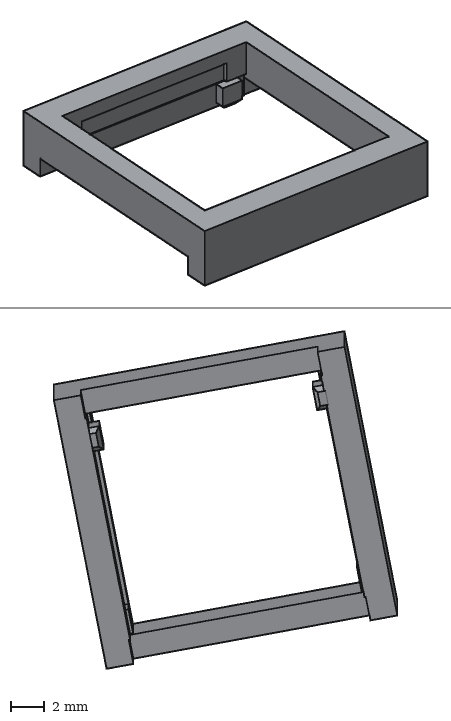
import cadquery as cq

width = 17.51
depth = 16.7
height = 3.78
opening = 13.76
rise = 0.07

notch_top = 2.54
notch_depth = 0.254
pocket_top = 0.93
pocket_length = 10.82
recess_top = 2.2
recess_depth = 0.18

clip_reach = 0.45
clip_length = 1.45
clip_y = 5.5
clip_top = recess_top
clip_bevel_height = 0.3
clip_bevel_reach = 0.25
clip_bevel_length = 0.3

notch_width = opening + 2 * notch_depth
recess_width = opening + 2 * recess_depth
slope = rise / width


def block(size_x, size_y, top, bottom):
    """Centred block between two distances below the top face, with upright sides
    and with its top and bottom sloping up toward +X."""
    half = size_x / 2
    z_top = height - top
    z_bottom = height - bottom
    lift = slope * half
    return (
        cq.Workplane("XZ")
        .moveTo(-half, z_bottom - lift)
        .lineTo(half, z_bottom + lift)
        .lineTo(half, z_top + lift)
        .lineTo(-half, z_top - lift)
        .close()
        .extrude(size_y / 2, both=True)
    )


def clip(side):
    """Clip on one side wall (side is -1 or +1), narrowed by bevels at its bottom."""
    wall_x = side * notch_width / 2
    reach = notch_depth + clip_reach
    tip_reach = reach - clip_bevel_reach
    tip_length = clip_length - 2 * clip_bevel_length
    bottom_z = slope * wall_x
    body = (
        cq.Workplane("XY")
        .workplane(offset=bottom_z + clip_bevel_height)
        .center(wall_x - side * reach / 2, clip_y)
        .rect(reach, clip_length)
        .extrude(height - clip_top - clip_bevel_height)
    )
    tip = (
        cq.Workplane("XY")
        .workplane(offset=bottom_z)
        .center(wall_x - side * tip_reach / 2, clip_y)
        .rect(tip_reach, tip_length)
        .workplane(offset=clip_bevel_height)
        .center(-side * clip_bevel_reach / 2, 0)
        .rect(reach, clip_length)
        .loft(ruled=True)
    )
    return body.union(tip)


frame = block(width, depth, 0, height)
frame = frame.cut(block(opening, opening, 0, height))

frame = frame.cut(block(recess_width, opening, recess_top, height))

frame = frame.cut(block(notch_width, pocket_length, pocket_top, recess_top))

bar_notches = block(notch_width, depth, notch_top, height)
bar_notches = bar_notches.cut(block(notch_width, opening, notch_top, height))
frame = frame.cut(bar_notches)

for side in (-1, 1):
    frame = frame.union(clip(side))

result = frame